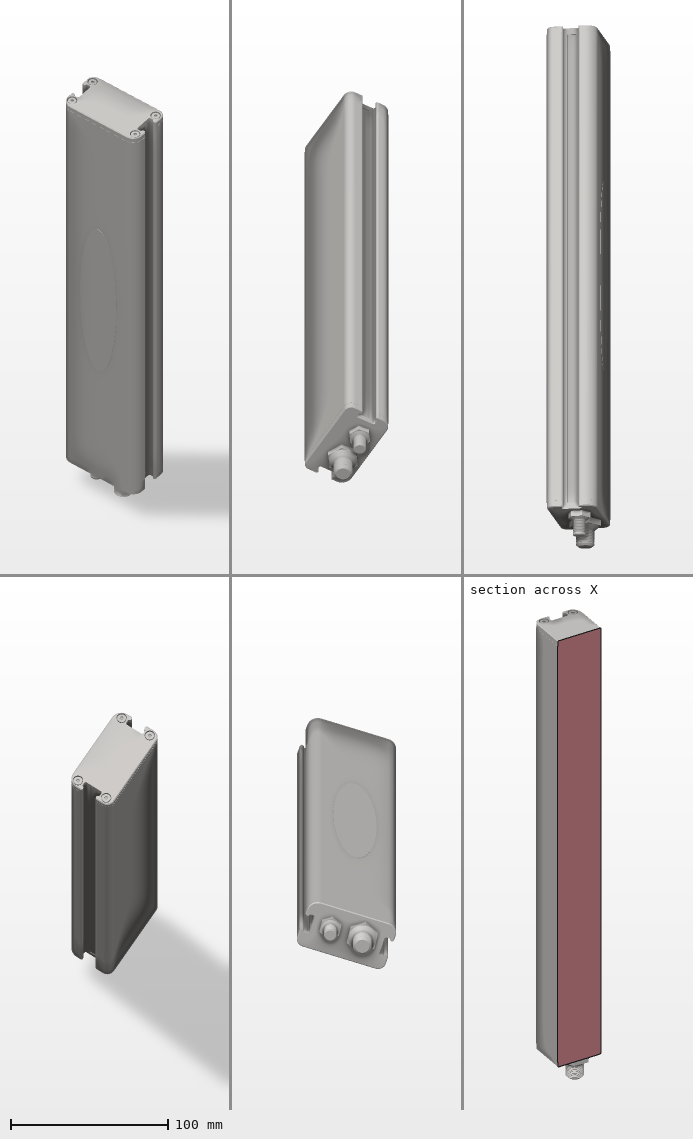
import cadquery as cq
import math

BODY_WIDTH = 59.4
BODY_DEPTH = 32.5
TOTAL_DEPTH = 32.7
TOTAL_HEIGHT = 332.76
CONNECTOR_REACH = 17.0
BODY_HEIGHT = TOTAL_HEIGHT - CONNECTOR_REACH
CAP_HEIGHT = 4.0
EXTRUSION_HEIGHT = BODY_HEIGHT - 2 * CAP_HEIGHT
CAP_INSET = 0.1
CAP_EDGE_CHAMFER = 0.6
FRONT_CORNER_RADIUS = 7.2
BACK_CORNER_RADIUS = 5.2

HALF_WIDTH = BODY_WIDTH / 2
HALF_DEPTH = BODY_DEPTH / 2

SLOT_OPENING = 10.0
SLOT_FLOOR_DEPTH = 6.3
LIP_THICKNESS = 3.0
UNDERCUT_CHAMFER = 0.7
FLOOR_GROOVE_WIDTH = 6.0
FLOOR_GROOVE_DEPTH = 0.5

SCREW_X = 25.3
SCREW_Y = 10.7
SCREW_POCKET_DIAMETER = 6.6
SCREW_POCKET_DEPTH = 2.0
SCREW_HEAD_DIAMETER = 5.4
SCREW_HEAD_HEIGHT = 1.6
SCREW_SOCKET_ACROSS_CORNERS = 2.6
SCREW_SOCKET_DEPTH = 1.0

LABEL_WIDTH = 29.2
LABEL_HEIGHT = 125.0
LABEL_THICKNESS = TOTAL_DEPTH - BODY_DEPTH

HEX_SIDES = 6
THREAD_PITCH = 1.0
THREAD_DEPTH = 0.5
NUT_VERTEX_ANGLE = 85.0
SMALL_CONNECTOR = {
    "x": -11.9,
    "y": -2.5,
    "reach": 15.0,
    "thread_diameter": 8.0,
    "nut_flats": 12.6,
    "nut_height": 3.6,
    "cone_diameter": 12.0,
    "cone_height": 1.0,
    "tip_chamfer": 0.5,
}
LARGE_CONNECTOR = {
    "x": 9.5,
    "y": -2.5,
    "reach": CONNECTOR_REACH,
    "thread_diameter": 12.0,
    "nut_flats": 18.0,
    "nut_height": 3.6,
    "cone_diameter": 18.0,
    "cone_height": 2.8,
    "tip_chamfer": 1.5,
}


def side_slot(side):
    """T-slot along the full height, open on the +X (side=1) or -X (side=-1) face.

    The lips beside the opening end in full rounds, and the floor steps deeper between the caps.
    """
    lip_radius = LIP_THICKNESS / 2
    mouth = SLOT_OPENING / 2
    undercut = mouth + lip_radius
    outer = side * HALF_WIDTH
    lip_middle = side * (HALF_WIDTH - lip_radius)
    lip_inner = side * (HALF_WIDTH - LIP_THICKNESS)
    floor = side * (HALF_WIDTH - SLOT_FLOOR_DEPTH)
    chamfer_start = floor + side * UNDERCUT_CHAMFER
    floor_edge = undercut - UNDERCUT_CHAMFER
    slot = (
        cq.Workplane("XY")
        .moveTo(outer, -undercut)
        .threePointArc((lip_middle, -mouth), (lip_inner, -undercut))
        .lineTo(chamfer_start, -undercut)
        .lineTo(floor, -floor_edge)
        .lineTo(floor, floor_edge)
        .lineTo(chamfer_start, undercut)
        .lineTo(lip_inner, undercut)
        .threePointArc((lip_middle, mouth), (outer, undercut))
        .close()
        .extrude(BODY_HEIGHT)
    )
    groove = (
        cq.Workplane("XY", origin=(floor, 0, CAP_HEIGHT))
        .rect(2 * FLOOR_GROOVE_DEPTH, FLOOR_GROOVE_WIDTH)
        .extrude(EXTRUSION_HEIGHT)
    )
    return slot.union(groove)


def rounded_block(inset, bottom, height):
    """Upright block with large front and smaller back corner rounds, inset from the body outline."""
    block = (
        cq.Workplane("XY", origin=(0, 0, bottom))
        .rect(BODY_WIDTH - 2 * inset, BODY_DEPTH - 2 * inset)
        .extrude(height)
    )
    block = block.faces("<Y").edges("|Z").fillet(FRONT_CORNER_RADIUS - inset)
    return block.faces(">Y").edges("|Z").fillet(BACK_CORNER_RADIUS - inset)


def make_housing():
    """Extrusion between two slightly inset, chamfered end caps, with a T-slot on each side."""
    bottom_cap = rounded_block(CAP_INSET, 0, CAP_HEIGHT).faces("<Z").chamfer(CAP_EDGE_CHAMFER)
    extrusion = rounded_block(0, CAP_HEIGHT, EXTRUSION_HEIGHT)
    top_cap = rounded_block(CAP_INSET, BODY_HEIGHT - CAP_HEIGHT, CAP_HEIGHT)
    top_cap = top_cap.faces(">Z").chamfer(CAP_EDGE_CHAMFER)
    housing = extrusion.union(bottom_cap).union(top_cap)
    for side in (-1, 1):
        housing = housing.cut(side_slot(side))
    return housing


def cap_screws():
    """Four socket-head screws, each sitting in a round pocket near a corner of the top cap.

    Returns the pockets to cut and the screw heads to add back.
    """
    pocket_floor = BODY_HEIGHT - SCREW_POCKET_DEPTH
    corners = [(x, y) for x in (-SCREW_X, SCREW_X) for y in (-SCREW_Y, SCREW_Y)]
    base = cq.Workplane("XY", origin=(0, 0, pocket_floor)).pushPoints(corners)
    pockets = base.circle(SCREW_POCKET_DIAMETER / 2).extrude(SCREW_POCKET_DEPTH)
    heads = base.circle(SCREW_HEAD_DIAMETER / 2).extrude(SCREW_HEAD_HEIGHT)
    sockets = (
        cq.Workplane("XY", origin=(0, 0, pocket_floor + SCREW_HEAD_HEIGHT))
        .pushPoints(corners)
        .polygon(HEX_SIDES, SCREW_SOCKET_ACROSS_CORNERS)
        .extrude(-SCREW_SOCKET_DEPTH)
    )
    return pockets, heads.cut(sockets)


def front_label():
    """Thin oval label standing proud of the front face."""
    return (
        cq.Workplane("XZ", origin=(0, -HALF_DEPTH, BODY_HEIGHT / 2))
        .ellipse(LABEL_WIDTH / 2, LABEL_HEIGHT / 2)
        .extrude(LABEL_THICKNESS)
    )


def connector(size):
    """Hexagon nut, cone and grooved round shank hanging below the bottom cap."""
    thread_radius = size["thread_diameter"] / 2
    root_radius = thread_radius - THREAD_DEPTH
    cone_radius = size["cone_diameter"] / 2
    cone_end = -size["nut_height"] - size["cone_height"]
    tip = -size["reach"]
    chamfer = size["tip_chamfer"]

    nut = (
        cq.Workplane("XY")
        .polygon(HEX_SIDES, size["nut_flats"] / math.cos(math.pi / HEX_SIDES))
        .extrude(-size["nut_height"])
        .rotate((0, 0, 0), (0, 0, 1), NUT_VERTEX_ANGLE)
    )

    profile = (
        cq.Workplane("XZ")
        .moveTo(0, 0)
        .lineTo(root_radius, 0)
        .lineTo(root_radius, -size["nut_height"])
        .lineTo(cone_radius, -size["nut_height"])
        .lineTo(thread_radius, cone_end)
    )
    ring_count = math.floor((cone_end - tip - chamfer) / THREAD_PITCH)
    for ring in range(ring_count):
        ring_top = cone_end - ring * THREAD_PITCH
        profile = profile.lineTo(root_radius, ring_top - THREAD_PITCH / 2)
        profile = profile.lineTo(thread_radius, ring_top - THREAD_PITCH)
    profile = (
        profile.lineTo(thread_radius, tip + chamfer)
        .lineTo(thread_radius - chamfer, tip)
        .lineTo(0, tip)
        .close()
    )
    shank = profile.revolve(360, (0, 0, 0), (0, 1, 0))
    return nut.union(shank).translate((size["x"], size["y"], 0))


screw_pockets, screw_heads = cap_screws()
result = make_housing().cut(screw_pockets).union(screw_heads).union(front_label())
for connector_size in (SMALL_CONNECTOR, LARGE_CONNECTOR):
    result = result.union(connector(connector_size))